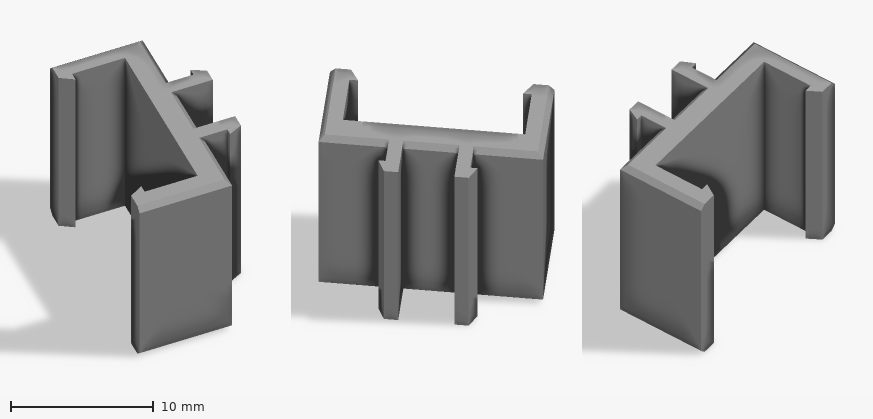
import cadquery as cq

width = 15.85
depth = 9.86
height = 14.5

body_depth = 7.07
back_thickness = 2.0
wall_thickness = 1.49
edge_chamfer = 0.4

lip_reach = 0.62
lip_length = 1.03

clip_inner_x = 1.98
clip_thickness = 1.01
barb_reach = 0.5
barb_length = 1.03

half_width = width / 2
front_y = -depth / 2
clip_end_y = depth / 2
back_y = front_y + body_depth
floor_y = back_y - back_thickness
inner_wall_x = half_width - wall_thickness


def extrude_outline(points):
    """Extrude an XY outline over the full height, centred on Z = 0."""
    return cq.Workplane("XY").polyline(points).close().extrude(height / 2, both=True)


def chamfered_block():
    """Block with its back and side edges chamfered on the top and bottom faces."""
    block = cq.Workplane("XY").box(width, body_depth, height)
    block = block.translate((0, front_y + body_depth / 2, 0))
    edges = block.faces("|Z").edges("|Y or >Y")
    return edges.chamfer(edge_chamfer)


def channel_opening():
    """Space between the walls, narrowed by the sloped lips at the open end."""
    lip_y = front_y + lip_length
    lip_x = inner_wall_x - lip_reach
    right_side = [
        (inner_wall_x, front_y),
        (lip_x, lip_y),
        (inner_wall_x, lip_y),
        (inner_wall_x, floor_y),
    ]
    left_side = [(-x, y) for x, y in reversed(right_side)]
    return extrude_outline(right_side + left_side)


def snap_clip(side):
    """Upright clip with an outward barb; side is +1 for +X and -1 for -X."""
    clip_outer_x = clip_inner_x + clip_thickness
    barb_y = clip_end_y - barb_length
    root_y = back_y - edge_chamfer
    outline = [
        (clip_inner_x, root_y),
        (clip_outer_x, root_y),
        (clip_outer_x, barb_y),
        (clip_outer_x + barb_reach, barb_y),
        (clip_outer_x, clip_end_y),
        (clip_inner_x, clip_end_y),
    ]
    return extrude_outline([(side * x, y) for x, y in outline])


result = chamfered_block().cut(channel_opening())
for side in (-1, 1):
    result = result.union(snap_clip(side))